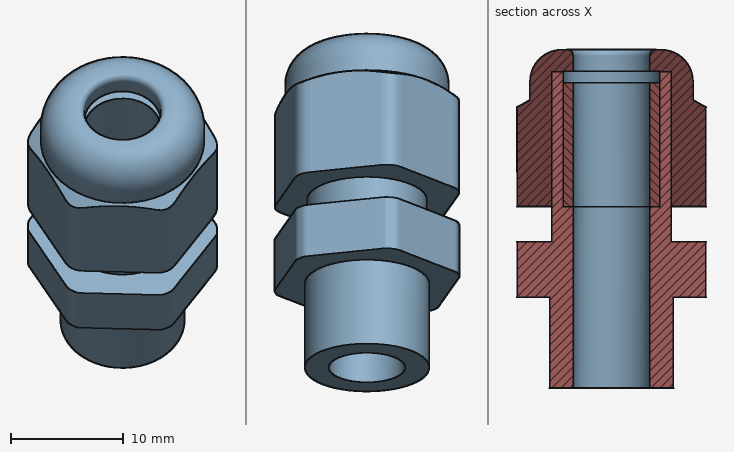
import cadquery as cq
import math


total_height = 30.0
across_flats = 15.0
across_corners = 16.77
corner_height = across_corners / 2
bore_radius = 3.4
sleeve_radius = 5.3

stem_radius = 5.52
body_hex_bottom = 8.05
body_hex_top = 12.95
corner_flat_half = 0.25
corner_bevel_half = 0.5
corner_bevel_height = 8.35
corner_end_half = 0.72

cap_bottom = 16.08
cap_shoulder = 25.53
cap_round_radius = 7.25
cap_nose_half = 0.78
cap_nose_height = 8.2
cap_corner_half = 0.93
shoulder_angle = 30.0
dome_flat_radius = 4.4
dome_start = 27.05
mouth_fillet = 0.55
cap_ceiling = 28.05

seal_radius = 4.25
seal_top = 27.05
seal_bottom = cap_bottom

sharp_corner = across_flats / math.sqrt(3)
flat_slope = math.tan(math.radians(30))
corner_angles = range(0, 360, 60)


def cylinder(radius, bottom, top):
    return cq.Workplane("XY").workplane(offset=bottom).circle(radius).extrude(top - bottom)


def turned(point, angle):
    """Point turned about the axis by an angle in degrees."""
    x, y = point
    turn = math.radians(angle)
    return (
        x * math.cos(turn) - y * math.sin(turn),
        x * math.sin(turn) + y * math.cos(turn),
    )


def flat_end(half_width):
    """Point on the hexagon's flat at this sideways distance from the middle of the +Y corner."""
    return (half_width, sharp_corner - half_width * flat_slope)


def mirrored(point):
    x, y = point
    return (-x, y)


def body_hexagon():
    """Hexagonal collar whose corners are blunted by five narrow flats."""
    half_corner = [
        flat_end(corner_end_half),
        (corner_bevel_half, corner_bevel_height),
        (corner_flat_half, corner_height),
    ]
    corner = half_corner + [mirrored(point) for point in reversed(half_corner)]
    outline = [turned(point, angle) for angle in corner_angles for point in corner]
    collar = cq.Workplane("XY").workplane(offset=body_hex_bottom).polyline(outline).close()
    return collar.extrude(body_hex_top - body_hex_bottom)


def cap_hexagon():
    """Hexagonal prism whose corners are round noses joined to the sides by narrow flats."""
    corner_start = flat_end(cap_corner_half)
    nose_start = (cap_nose_half, cap_nose_height)
    nose_tip = (0, corner_height)
    outline = cq.Workplane("XY").workplane(offset=cap_bottom).moveTo(*corner_start)
    for angle in corner_angles:
        if angle > 0:
            outline = outline.lineTo(*turned(corner_start, angle))
        outline = outline.lineTo(*turned(nose_start, angle))
        outline = outline.threePointArc(turned(nose_tip, angle), turned(mirrored(nose_start), angle))
        outline = outline.lineTo(*turned(mirrored(corner_start), angle))
    return outline.close().extrude(total_height - cap_bottom)


def make_body():
    """Entry stem, hexagonal collar and the sleeve that fills the cap, with a stepped bore."""
    stem = cylinder(stem_radius, 0, body_hex_bottom)
    sleeve = cylinder(sleeve_radius, body_hex_top, cap_ceiling)
    solid = stem.union(body_hexagon()).union(sleeve)
    bore = cylinder(bore_radius, 0, cap_ceiling)
    seal_seat = cylinder(seal_radius, seal_bottom, cap_ceiling)
    return solid.cut(bore).cut(seal_seat)


def make_seal():
    """Plain tube in the body's counterbore, with the same bore as the body."""
    return cylinder(seal_radius, seal_bottom, seal_top).cut(cylinder(bore_radius, seal_bottom, seal_top))


def cap_envelope():
    """Revolved limit of the cap: conical shoulder, round neck and rounded dome."""
    slope = math.tan(math.radians(shoulder_angle))
    cone_bottom = cap_shoulder - (sharp_corner - cap_round_radius) * slope
    dome_rise = total_height - dome_start
    dome_run = cap_round_radius - dome_flat_radius
    halfway = math.sqrt(0.5)
    arc_middle = (
        dome_flat_radius + dome_run * halfway,
        dome_start + dome_rise * halfway,
    )
    profile = (
        cq.Workplane("XZ")
        .moveTo(0, cap_bottom)
        .lineTo(sharp_corner, cap_bottom)
        .lineTo(sharp_corner, cone_bottom)
        .lineTo(cap_round_radius, cap_shoulder)
        .lineTo(cap_round_radius, dome_start)
        .threePointArc(arc_middle, (dome_flat_radius, total_height))
        .lineTo(0, total_height)
        .close()
    )
    return profile.revolve(360, (0, 0, 0), (0, 1, 0))


def make_cap():
    """Hexagonal nut with rounded corners under a dome, hollowed to fit over the sleeve."""
    solid = cap_hexagon().intersect(cap_envelope())
    solid = solid.cut(cylinder(sleeve_radius, cap_bottom, cap_ceiling))
    solid = solid.cut(cylinder(bore_radius, cap_ceiling, total_height))
    mouth_edge = cq.selectors.RadiusNthSelector(0)
    return solid.faces(">Z").edges(mouth_edge).fillet(mouth_fillet)


body = make_body()
seal = make_seal()
cap = make_cap()

result = cq.Compound.makeCompound([body.solids().val(), seal.solids().val(), cap.solids().val()])